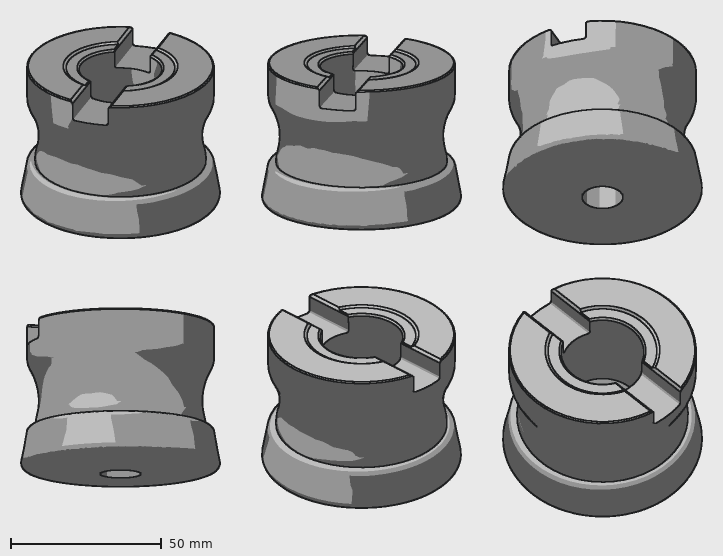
import cadquery as cq

total_height = 50.0
joint_z = 15.55
through_diameter = 13.5

head_radius = 62.0 / 2
rim_chamfer = 0.45
shoulder_top_z = 39.35
shoulder_bottom_radius = 29.9
shoulder_bottom_z = 35.3
neck_bottom_radius = 27.9
neck_bottom_z = 19.05
seat_radius = 56.7 / 2
seat_top_z = 15.95

recess_depth = 0.5
recess_top_radius = 19.0
recess_floor_radius = 18.0
recess_floor_z = total_height - recess_depth

bore_chamfer = 0.65
bore_top_radius = 13.7
bore_bottom_radius = 12.9
bore_mouth_radius = bore_top_radius + bore_chamfer
through_radius = through_diameter / 2
floor_cone_depth = 3.55
bore_bottom_z = joint_z + floor_cone_depth

slot_width = 12.4
slot_depth = 7.05
slot_chamfer = 0.9
slot_fillet = 0.9

foot_top_radius = 30.85
foot_corner_radius = 33.3
foot_corner_z = 2.25
foot_base_radius = 22.3
foot_top_fillet = 2.0
foot_corner_fillet = 2.0


def make_head_blank():
    """Revolve the solid head with its waisted neck."""
    outline = (
        cq.Workplane("XZ")
        .moveTo(0, joint_z)
        .lineTo(0, total_height)
        .lineTo(head_radius - rim_chamfer, total_height)
        .lineTo(head_radius, total_height - rim_chamfer)
        .lineTo(head_radius, shoulder_top_z)
        .tangentArcPoint((shoulder_bottom_radius, shoulder_bottom_z), relative=False)
        .tangentArcPoint((neck_bottom_radius, neck_bottom_z), relative=False)
        .tangentArcPoint((seat_radius, seat_top_z), relative=False)
        .lineTo(seat_radius, joint_z)
        .close()
    )
    return outline.revolve(360, (0, 0, 0), (0, 1, 0))


def make_bore():
    """Revolve the space of the recess, the tapered bore and its floor cone."""
    outline = (
        cq.Workplane("XZ")
        .polyline([
            (0, joint_z),
            (through_radius, joint_z),
            (bore_bottom_radius, bore_bottom_z),
            (bore_top_radius, recess_floor_z - bore_chamfer),
            (bore_mouth_radius, recess_floor_z),
            (recess_floor_radius, recess_floor_z),
            (recess_top_radius, total_height),
            (0, total_height),
        ])
        .close()
    )
    return outline.revolve(360, (0, 0, 0), (0, 1, 0))


def make_slot():
    """Build the slot space: rounded floor corners and chamfered upper edges."""
    slot_length = 2 * head_radius
    floor_z = total_height - slot_depth
    channel = (
        cq.Workplane("XY")
        .workplane(offset=floor_z)
        .rect(slot_width, slot_length)
        .extrude(slot_depth)
        .edges("|Y and <Z")
        .fillet(slot_fillet)
    )
    half_width = slot_width / 2
    flare = (
        cq.Workplane("XZ")
        .polyline([
            (-half_width, total_height - slot_chamfer),
            (half_width, total_height - slot_chamfer),
            (half_width + slot_chamfer, total_height),
            (-half_width - slot_chamfer, total_height),
        ])
        .close()
        .extrude(head_radius, both=True)
    )
    return channel.union(flare)


def make_head():
    return make_head_blank().cut(make_bore()).cut(make_slot())


def make_foot():
    """Revolve the flared ring, then round its upper and lower outer corners."""
    ring = (
        cq.Workplane("XZ")
        .polyline([
            (through_radius, 0),
            (foot_base_radius, 0),
            (foot_corner_radius, foot_corner_z),
            (foot_top_radius, joint_z),
            (through_radius, joint_z),
        ])
        .close()
        .revolve(360, (0, 0, 0), (0, 1, 0))
    )
    outermost = cq.selectors.RadiusNthSelector(-1)
    ring = ring.edges("%CIRCLE").edges(outermost).fillet(foot_corner_fillet)
    return ring.faces(">Z").edges(outermost).fillet(foot_top_fillet)


head = make_head()
foot = make_foot()
result = cq.Compound.makeCompound([head.solids().val(), foot.solids().val()])